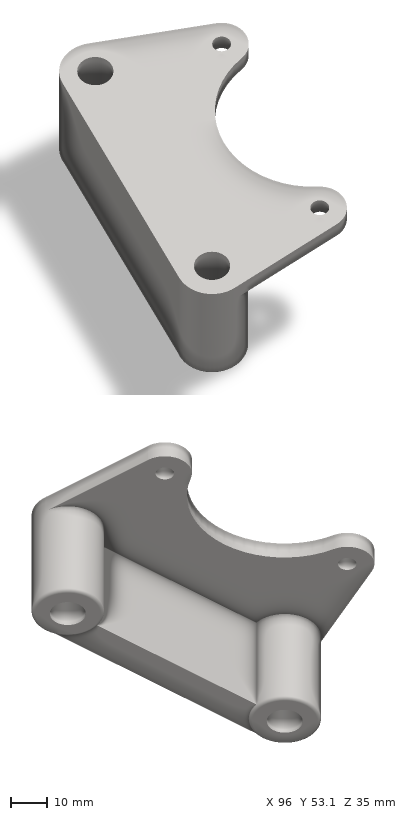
import cadquery as cq
import math

length = 96.0
height = 35.0
plate_thickness = 5.0

boss_radius = 10.0
bolt_hole_diameter = 10.0
boss_x = length / 2 - boss_radius
foot_height = 1.0
foot_fillet = 0.94
web_thickness = boss_radius

ear_radius = 7.5
ear_hole_diameter = 5.2
ear_x = 32.0
depth = 53.1
ear_y = depth - boss_radius - ear_radius

recess_bottom_y = 21.4
drop = ear_y - recess_bottom_y
recess_radius = (ear_x**2 + drop**2 - ear_radius**2) / (2 * (ear_radius + drop))
recess_y = recess_bottom_y + recess_radius


def make_plate():
    """Flat plate whose rounded corners, ears and recess meet tangentially."""
    side_x = ear_x - boss_x
    side_length = math.hypot(side_x, ear_y)
    normal_angle = math.atan2(-side_x, ear_y) + math.asin((boss_radius - ear_radius) / side_length)
    recess_angle = math.atan2(recess_y - ear_y, -ear_x)

    def on_boss(angle):
        return boss_x + boss_radius * math.cos(angle), boss_radius * math.sin(angle)

    def on_ear(angle):
        return ear_x + ear_radius * math.cos(angle), ear_y + ear_radius * math.sin(angle)

    def mirrored(point):
        return -point[0], point[1]

    boss_start = on_boss(-math.pi / 2)
    boss_middle = on_boss((normal_angle - math.pi / 2) / 2)
    boss_end = on_boss(normal_angle)
    ear_start = on_ear(normal_angle)
    ear_middle = on_ear((normal_angle + recess_angle) / 2)
    ear_end = on_ear(recess_angle)
    return (
        cq.Workplane("XY")
        .workplane(offset=height - plate_thickness)
        .moveTo(*mirrored(boss_start))
        .lineTo(*boss_start)
        .threePointArc(boss_middle, boss_end)
        .lineTo(*ear_start)
        .threePointArc(ear_middle, ear_end)
        .threePointArc((0, recess_bottom_y), mirrored(ear_end))
        .threePointArc(mirrored(ear_middle), mirrored(ear_start))
        .lineTo(*mirrored(boss_end))
        .threePointArc(mirrored(boss_middle), mirrored(boss_start))
        .close()
        .extrude(plate_thickness)
    )


def make_boss():
    """Right-hand boss, from the top of its foot to the top of the plate."""
    return (
        cq.Workplane("XY")
        .workplane(offset=foot_height)
        .center(boss_x, 0)
        .circle(boss_radius)
        .extrude(height - foot_height)
    )


def make_web():
    """Wall joining the bosses, flush with their front and reaching back to their axes."""
    return (
        cq.Workplane("XY")
        .workplane(offset=foot_height)
        .center(0, web_thickness / 2 - boss_radius)
        .rect(2 * boss_x, web_thickness)
        .extrude(height - foot_height)
    )


def make_feet():
    """Low round pads under the bosses with a rounded lower rim."""
    return (
        cq.Workplane("XY")
        .pushPoints([(-boss_x, 0), (boss_x, 0)])
        .circle(boss_radius)
        .extrude(foot_height)
        .faces("<Z")
        .fillet(foot_fillet)
    )


def make_hole_pair(x, y, diameter):
    """Through-hole cutters placed symmetrically about the YZ plane."""
    return (
        cq.Workplane("XY")
        .pushPoints([(-x, y), (x, y)])
        .circle(diameter / 2)
        .extrude(height)
    )


boss = make_boss()
result = (
    make_plate()
    .union(make_web())
    .union(boss)
    .union(boss.mirror("YZ"))
    .union(make_feet())
    .cut(make_hole_pair(boss_x, 0, bolt_hole_diameter))
    .cut(make_hole_pair(ear_x, ear_y, ear_hole_diameter))
)